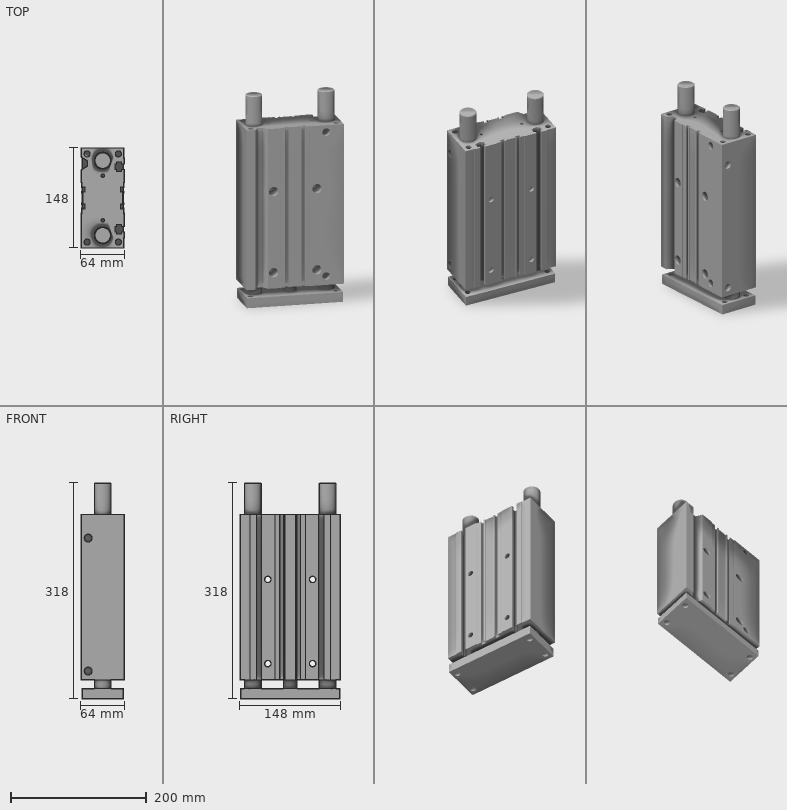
import cadquery as cq
import math


plate_thickness = 15.0
plate_gap = 13.0
housing_height = 244.0
rod_overhang = 46.0
housing_bottom = plate_thickness + plate_gap
housing_top = housing_bottom + housing_height
rod_top = housing_top + rod_overhang

half_depth = 32.0
half_length = 74.0
land_step = 1.0
end_land_x = half_depth - land_step
end_land_y = 59.0
waist_half_depth = half_depth - land_step
waist_half_length = 22.5
center_recess_depth = 1.6
center_recess_x = waist_half_depth - center_recess_depth
center_recess_half_length = 7.5

sensor_y = 12.5
sensor_mouth = 5.2
sensor_head = 7.0
sensor_lip = 1.7
sensor_head_depth = 3.0
sensor_head_outer_x = waist_half_depth - sensor_lip
sensor_head_inner_x = sensor_head_outer_x - sensor_head_depth

t_slot_y = 46.0
t_mouth = 8.0
t_head = 14.0
t_head_outer_x = 28.0
t_head_inner_x = 20.0
t_bottom_x = 18.0

channel_y = 50.8
channel_depth = 9.5
channel_floor_half = 4.0
channel_wall_angle = 30.0
channel_mouth_half = channel_floor_half + channel_depth * math.tan(math.radians(channel_wall_angle))

guide_diameter = 25.0
guide_y = 55.0
guide_chamfer = 1.0
piston_rod_diameter = 20.0

plate_width = 61.0
plate_length = 146.0

housing_corner_x = 23.0
plate_corner_x = 20.0
corner_y = 65.0
housing_corner_diameter = 9.0
housing_corner_depth = 20.0
plate_corner_diameter = 8.5

pin_y = 33.0
pin_diameter = 5.0
pin_depth = 10.0

mount_y = 33.0
mount_inset = 24.0
mount_spacing = 124.0
mount_heights = (housing_bottom + mount_inset, housing_bottom + mount_inset + mount_spacing)
mount_diameter = 9.0
mount_bore_diameter = 14.0
mount_bore_depth = 20.0

port_diameter = 11.5
port_depth = 12.0
side_port_bottom_inset = 13.5
end_port_bottom_inset = 13.0
side_port_top_inset = 10.5
end_port_top_inset = 35.0
side_port_y = -47.0
side_port_heights = (housing_bottom + side_port_bottom_inset, housing_top - side_port_top_inset)
end_port_x = -21.5
end_port_heights = (housing_bottom + end_port_bottom_inset, housing_top - end_port_top_inset)


def upright_block(x_start, x_end, y_center, width):
    """Block over the full housing height, between two X planes."""
    middle = ((x_start + x_end) / 2, y_center, housing_bottom + housing_height / 2)
    return cq.Workplane("XY").box(abs(x_end - x_start), width, housing_height).translate(middle)


def sensor_groove(side, y):
    """Undercut groove in the -X (side = -1) or +X (side = 1) face."""
    mouth = upright_block(side * half_depth, side * sensor_head_outer_x, y, sensor_mouth)
    head = upright_block(side * sensor_head_outer_x, side * sensor_head_inner_x, y, sensor_head)
    return mouth.union(head)


def t_slot(y):
    """T-slot in the +X face with a narrow relief below its head."""
    stem = upright_block(half_depth, t_bottom_x, y, t_mouth)
    head = upright_block(t_head_outer_x, t_head_inner_x, y, t_head)
    return stem.union(head)


def channel():
    """Open channel whose walls spread toward the -X face."""
    floor_x = -half_depth + channel_depth
    return (
        cq.Workplane("XY", origin=(0, 0, housing_bottom))
        .polyline([
            (-half_depth, channel_y - channel_mouth_half),
            (floor_x, channel_y - channel_floor_half),
            (floor_x, channel_y + channel_floor_half),
            (-half_depth, channel_y + channel_mouth_half),
        ])
        .close()
        .extrude(housing_height)
    )


def cylinder(start, direction, diameter, length):
    """Round bar or hole tool from a start point along a direction."""
    solid = cq.Solid.makeCylinder(diameter / 2, length, cq.Vector(*start), cq.Vector(*direction))
    return cq.Workplane(solid)


def corner_points(corner_x):
    return [(x, y) for x in (-corner_x, corner_x) for y in (-corner_y, corner_y)]


def cut_profile(body):
    """Length-wise steps, grooves and slots of the extruded housing."""
    land_width = half_length - end_land_y
    for end in (-1, 1):
        land_center = end * (end_land_y + land_width / 2)
        body = body.cut(upright_block(end_land_x, half_depth, land_center, land_width))
        body = body.cut(t_slot(end * t_slot_y))
    for side in (-1, 1):
        face_x = side * half_depth
        body = body.cut(upright_block(face_x, side * waist_half_depth, 0, 2 * waist_half_length))
        body = body.cut(upright_block(face_x, side * center_recess_x, 0, 2 * center_recess_half_length))
        for y in (-sensor_y, sensor_y):
            body = body.cut(sensor_groove(side, y))
    return body.cut(channel())


def cut_top_holes(body):
    for x, y in corner_points(housing_corner_x):
        start = (x, y, housing_top)
        body = body.cut(cylinder(start, (0, 0, -1), housing_corner_diameter, housing_corner_depth))
    for y in (-pin_y, pin_y):
        body = body.cut(cylinder((0, y, housing_top), (0, 0, -1), pin_diameter, pin_depth))
    return body


def cut_mount_holes(body):
    for z in mount_heights:
        for y in (-mount_y, mount_y):
            start = (-half_depth, y, z)
            body = body.cut(cylinder(start, (1, 0, 0), mount_diameter, 2 * half_depth))
            body = body.cut(cylinder(start, (1, 0, 0), mount_bore_diameter, mount_bore_depth))
    return body


def cut_ports(body):
    for z in side_port_heights:
        body = body.cut(cylinder((-half_depth, side_port_y, z), (1, 0, 0), port_diameter, port_depth))
    for z in end_port_heights:
        body = body.cut(cylinder((end_port_x, -half_length, z), (0, 1, 0), port_diameter, port_depth))
    return body


def make_housing():
    body = upright_block(-half_depth, half_depth, 0, 2 * half_length)
    body = cut_profile(body)
    body = cut_top_holes(body)
    body = cut_mount_holes(body)
    body = cut_ports(body)
    for y in (-guide_y, guide_y):
        body = body.cut(cylinder((0, y, housing_bottom), (0, 0, 1), guide_diameter, housing_height))
    return body


def make_carriage():
    """Plate with both guide rods and the piston rod, which meets the housing underside."""
    plate_size = (plate_width, plate_length, plate_thickness)
    body = cq.Workplane("XY").box(*plate_size, centered=(True, True, False))
    for x, y in corner_points(plate_corner_x):
        body = body.cut(cylinder((x, y, 0), (0, 0, 1), plate_corner_diameter, plate_thickness))
    for y in (-guide_y, guide_y):
        rod = cylinder((0, y, plate_thickness), (0, 0, 1), guide_diameter, rod_top - plate_thickness)
        body = body.union(rod.faces(">Z").chamfer(guide_chamfer))
    return body.union(cylinder((0, 0, plate_thickness), (0, 0, 1), piston_rod_diameter, plate_gap))


housing = make_housing()
carriage = make_carriage()

result = cq.Compound.makeCompound([housing.solids().val(), carriage.solids().val()])